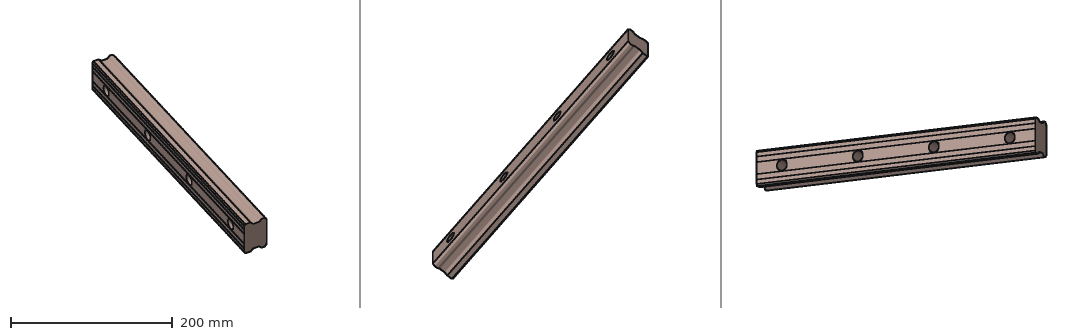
import cadquery as cq

length = 385.0
depth = 32.0
height = 45.0

groove_depth = 3.5
back_land_start = 3.0
back_land_end = 7.5
groove_floor_start = 10.8
groove_floor_end = 19.0
front_land_start = 23.0

back_chamfer_height = 3.5
edge_radius = 1.0
front_chamfer_depth = 1.5
front_chamfer_height = 2.5

relief_half_heights = (14.5, 7.7)
relief_step = 0.1

hole_diameter = 14.0
hole_count = 4
hole_end_distance = 35.0
hole_pitch = (length - 2 * hole_end_distance) / (hole_count - 1)

half_height = height / 2
back = depth / 2


def rail_body():
    """Extrude the grooved section, symmetric about Z = 0, along X."""
    upper = [
        (back, half_height - back_chamfer_height),
        (back - back_land_start, half_height),
        (back - back_land_end, half_height),
        (back - groove_floor_start, half_height - groove_depth),
        (back - groove_floor_end, half_height - groove_depth),
        (back - front_land_start, half_height),
        (front_chamfer_depth - back, half_height),
        (-back, half_height - front_chamfer_height),
    ]
    lower = [(y, -z) for y, z in reversed(upper)]
    section = cq.Workplane("YZ").polyline(upper + lower).close()
    return section.extrude(length / 2, both=True)


def round_edges(body):
    """Round the back lands and the groove floor corners on both sides."""
    floor_z = half_height - groove_depth
    rounded_corners = [
        (back_land_start, half_height),
        (back_land_end, half_height),
        (groove_floor_start, floor_z),
        (groove_floor_end, floor_z),
    ]
    for inset, z in rounded_corners:
        for side in (1, -1):
            corner = (0, back - inset, side * z)
            nearest = cq.selectors.NearestToPointSelector(corner)
            body = body.edges(nearest).fillet(edge_radius)
    return body


def front_relief():
    """Nested shallow recesses running the full length of the front face."""
    relief = cq.Workplane()
    for step_number, half_band in enumerate(relief_half_heights, start=1):
        step_depth = step_number * relief_step
        band = cq.Workplane().box(length, 2 * step_depth, 2 * half_band)
        relief = relief.add(band.translate((0, -back, 0)))
    return relief.combine()


def mounting_holes():
    """Cylinders crossing the rail along Y, spaced evenly along X."""
    first_hole = hole_end_distance - length / 2
    centers = [(first_hole + i * hole_pitch, 0) for i in range(hole_count)]
    plane = cq.Workplane("XZ").pushPoints(centers)
    return plane.circle(hole_diameter / 2).extrude(depth, both=True)


result = round_edges(rail_body()).cut(front_relief()).cut(mounting_holes())